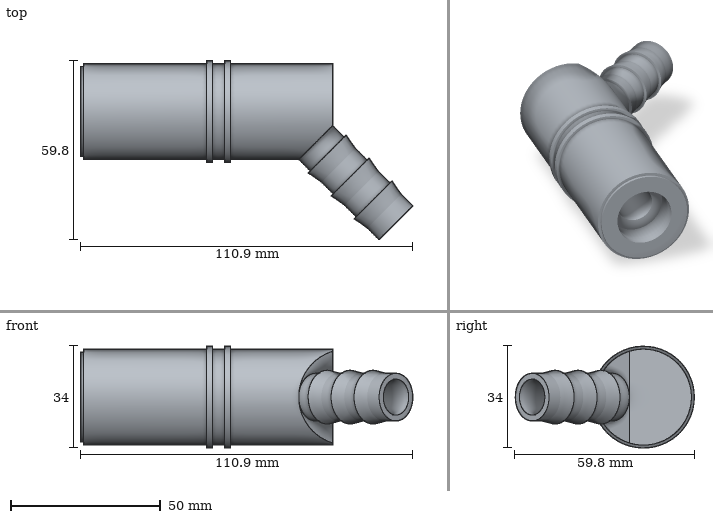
import cadquery as cq
import math


overall_length = 110.9
bend_angle = 45.0

body_length = 84.2
body_diameter = 32.0
neck_diameter = 30.0
neck_length = 1.0
counterbore_diameter = 19.0
counterbore_depth = 10.0
bore_diameter = 12.0

bend_x = 68.1
spigot_start = 14.6
spigot_diameter = 16.0
barb_diameter = 18.0
barb_count = 3

ring_diameter = 34.0
ring_width = 2.0
first_ring_x = 42.0
ring_pitch = 6.0
ring_count = 2

spigot_x = math.cos(math.radians(bend_angle))
spigot_y = -math.sin(math.radians(bend_angle))
rim_reach = spigot_diameter / 2 * abs(spigot_y)
spigot_end = (overall_length - bend_x - rim_reach) / spigot_x

step_count = 2 * barb_count + 1
barb_step = (spigot_end - spigot_start) / step_count


def spigot_plane(distance):
    """Plane square to the spigot axis, at a distance from the bend."""
    origin = (bend_x + distance * spigot_x, distance * spigot_y, 0)
    return cq.Plane(origin=origin, xDir=(0, 0, 1), normal=(spigot_x, spigot_y, 0))


def cylinder_x(start_x, length, diameter):
    """Solid cylinder on the body axis."""
    return cq.Workplane("YZ", origin=(start_x, 0, 0)).circle(diameter / 2).extrude(length)


def make_shell():
    """Outer cylinder with a stepped neck, cut off square to the spigot at the far end."""
    neck = cylinder_x(0, neck_length, neck_diameter)
    barrel = cylinder_x(neck_length, body_length - neck_length, body_diameter)
    beyond_face = cq.Workplane(spigot_plane(spigot_start)).circle(2 * body_diameter).extrude(body_length)
    return neck.union(barrel).cut(beyond_face)


def make_barb(index):
    """Cone with its sharp shoulder facing the body, tapering down to the spigot."""
    shoulder = spigot_start + (2 * index + 1) * barb_step
    return (
        cq.Workplane(spigot_plane(shoulder))
        .circle(barb_diameter / 2)
        .workplane(offset=barb_step)
        .circle(spigot_diameter / 2)
        .loft()
    )


def make_spigot():
    """Plain tube stub with its row of barbs."""
    length = spigot_end - spigot_start
    spigot = cq.Workplane(spigot_plane(spigot_start)).circle(spigot_diameter / 2).extrude(length)
    for index in range(barb_count):
        spigot = spigot.union(make_barb(index))
    return spigot


def make_passage():
    """Bore through the whole connector, mitred where it turns at the bend."""
    path = (
        cq.Workplane("XY")
        .moveTo(0, 0)
        .lineTo(bend_x, 0)
        .lineTo(bend_x + spigot_end * spigot_x, spigot_end * spigot_y)
    )
    return cq.Workplane("YZ").circle(bore_diameter / 2).sweep(path, transition="right")


def make_connector():
    counterbore = cylinder_x(0, counterbore_depth, counterbore_diameter)
    return make_shell().union(make_spigot()).cut(make_passage()).cut(counterbore)


def make_ring(index):
    """Flat-sided ring seated on the outside of the body."""
    ring_x = first_ring_x + index * ring_pitch
    return (
        cq.Workplane("YZ", origin=(ring_x, 0, 0))
        .circle(ring_diameter / 2)
        .circle(body_diameter / 2)
        .extrude(ring_width)
    )


connector = make_connector()
rings = [make_ring(index) for index in range(ring_count)]

result = cq.Compound.makeCompound([connector.solids().val(), *[ring.val() for ring in rings]])